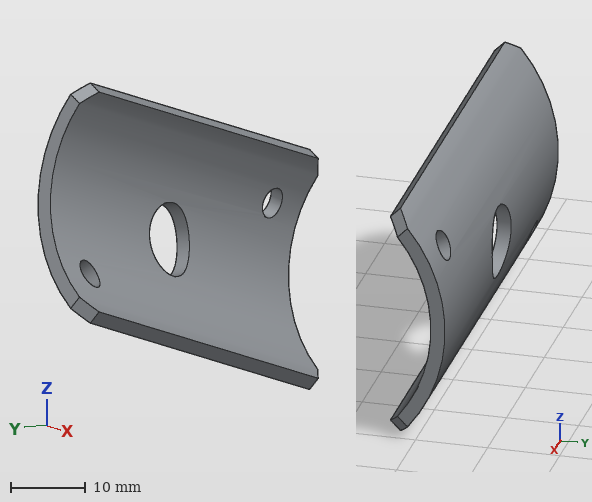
import cadquery as cq
import math

length = 60.0
outer_radius = 23.2
thickness = 2.0
half_angle = 45.0
corner_chamfer = 2.4

center_hole_diameter = 10.0
small_hole_diameter = 4.2
small_hole_offset = 23.0
small_hole_angle = 24.0

inner_radius = outer_radius - thickness


def arc_point(radius, angle):
    """Point in the YZ plane at an angle in degrees from +Y towards +Z."""
    turn = math.radians(angle)
    return (radius * math.cos(turn), radius * math.sin(turn))


def curved_plate():
    """Constant-thickness arc with radial long edges."""
    return (
        cq.Workplane("YZ")
        .moveTo(*arc_point(outer_radius, -half_angle))
        .threePointArc(arc_point(outer_radius, 0), arc_point(outer_radius, half_angle))
        .lineTo(*arc_point(inner_radius, half_angle))
        .threePointArc(arc_point(inner_radius, 0), arc_point(inner_radius, -half_angle))
        .close()
        .extrude(length / 2, both=True)
    )


def radial_drill(x, angle, diameter):
    """Cylinder running from the tube axis out through the plate."""
    return (
        cq.Workplane("XZ", origin=(x, 0, 0))
        .circle(diameter / 2)
        .extrude(-(outer_radius + thickness))
        .rotate((0, 0, 0), (1, 0, 0), angle)
    )


plate = curved_plate().edges("%LINE and (not |X)").chamfer(corner_chamfer)

result = plate.cut(radial_drill(0, 0, center_hole_diameter))
for side in (-1, 1):
    result = result.cut(
        radial_drill(side * small_hole_offset, side * small_hole_angle, small_hole_diameter)
    )